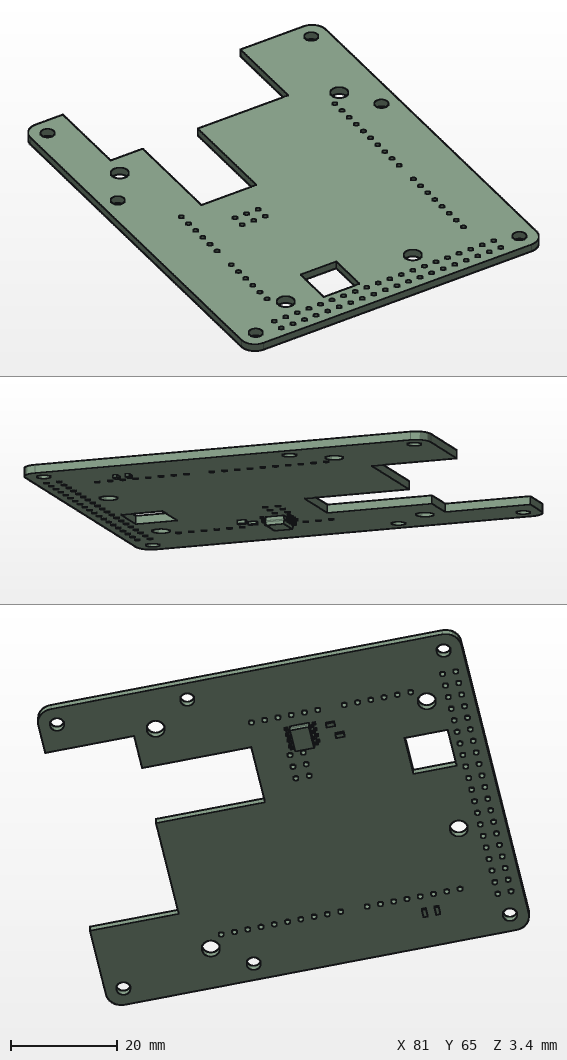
import cadquery as cq


board_length = 81.0
board_width = 65.0
board_thickness = 1.6
corner_radius = 3.0

notch_depth = 17.0
notch_bottom = -23.5
notch_top = 15.55
slot_depth = 37.9
slot_bottom = -16.45
window_left = 25.8
window_right = 34.1
window_bottom = -12.2
window_top = -4.4
slot_top = window_top

pin_hole_diameter = 1.0
header_pins = 20
header_length = 48.3
pitch = header_length / (header_pins - 1)
icsp_center_x = 5.4
icsp_center_y = -10.7
icsp_rows = 3

mount_diameter = 2.7
mount_inset = 3.5
mount_x = board_length / 2 - mount_inset
mount_y = board_width / 2 - mount_inset
middle_mount_x = -12.1
shield_hole_diameter = 3.4
shield_x = -19.2
shield_y = -header_length / 2

shield_holes = [(0, 0), (0, 19), (20, 2), (20, 13)]
upper_row = 18
upper_columns = [*range(1, 11), *range(12, 20)]
lower_row = 1
lower_columns = [*range(7, 13), *range(14, 20)]

chip_x = 7.3
chip_y = -17.1
chip_width = 3.8
chip_length = 4.9
chip_draft = 0.12
chip_standoff = 0.2
chip_height = 1.8
chip_middle = (chip_standoff + chip_height) / 2
lead_count = 4
lead_pitch = pitch / 2
lead_span = 5.9
lead_width = 0.4
lead_thickness = 0.25
lead_foot = 0.6
lead_bend_radius = 0.12

component_length = 1.6
component_width = 0.8
resistor_height = 0.5
capacitor_height = 0.65
capacitor_standoff = 0.2
resistor_pair_x = [21.55, 24.0]
resistor_pair_y = 25.0
side_resistor_x = 13.0
side_resistor_y = -18.2
capacitor_x = 14.25
capacitor_y = -15.8


def grid_point(column, row):
    """Point a number of pitches away from the lower left shield hole."""
    return (shield_x + column * pitch, shield_y + row * pitch)


def drill(plate, points, diameter):
    """Cut through holes at the given points, measured from the board centre."""
    return plate.cut(cq.Workplane("XY").pushPoints(points).circle(diameter / 2).extrude(board_thickness))


def block(left, right, bottom, top):
    """Board-thick block used to cut rectangular openings."""
    cutter = cq.Workplane("XY").box(right - left, top - bottom, board_thickness, centered=False)
    return cutter.translate((left, bottom, 0))


def pin_hole_points():
    points = [grid_point(column, upper_row) for column in upper_columns]
    points += [grid_point(column, lower_row) for column in lower_columns]
    for side in (-0.5, 0.5):
        for row in range(header_pins):
            points.append((mount_x + side * pitch, row * pitch - header_length / 2))
        for row in range(icsp_rows):
            offset = row - (icsp_rows - 1) / 2
            points.append((icsp_center_x + side * pitch, icsp_center_y + offset * pitch))
    return points


def make_board():
    plate = cq.Workplane("XY").box(
        board_length, board_width, board_thickness, centered=(True, True, False)
    )
    plate = plate.edges("|Z").fillet(corner_radius)
    left_edge = -board_length / 2
    plate = plate.cut(block(left_edge, left_edge + notch_depth, notch_bottom, notch_top))
    plate = plate.cut(block(left_edge, left_edge + slot_depth, slot_bottom, slot_top))
    plate = plate.cut(block(window_left, window_right, window_bottom, window_top))

    mounts = [(x, y) for x in (-mount_x, middle_mount_x, mount_x) for y in (-mount_y, mount_y)]
    plate = drill(plate, mounts, mount_diameter)
    plate = drill(plate, [grid_point(*place) for place in shield_holes], shield_hole_diameter)
    return drill(plate, pin_hole_points(), pin_hole_diameter)


def chip_taper(start_z, end_z):
    """Part of the moulded body that narrows from start_z to end_z."""
    return (
        cq.Workplane("XY", origin=(0, 0, start_z))
        .rect(chip_width, chip_length)
        .workplane(offset=end_z - start_z)
        .rect(chip_width - 2 * chip_draft, chip_length - 2 * chip_draft)
        .loft(combine=True)
    )


def make_chip_body():
    """Straight band as thick as the leads, with a taper on each side of it."""
    band_bottom = -chip_middle - lead_thickness / 2
    band_top = band_bottom + lead_thickness
    band = (
        cq.Workplane("XY", origin=(0, 0, band_bottom))
        .rect(chip_width, chip_length)
        .extrude(lead_thickness)
    )
    return band.union(chip_taper(band_top, -chip_standoff)).union(chip_taper(band_bottom, -chip_height))


def make_lead():
    """Gull-wing lead: shoulder from the chip body, vertical leg and foot on the board."""
    tip = lead_span / 2
    leg_outer = tip - lead_foot + lead_thickness
    leg_inner = leg_outer - lead_thickness
    shoulder_low = -chip_middle - lead_thickness / 2
    shoulder_high = shoulder_low + lead_thickness
    root = chip_width / 2 - chip_draft
    return (
        cq.Workplane("XZ")
        .moveTo(root, shoulder_low)
        .lineTo(leg_outer, shoulder_low)
        .lineTo(leg_outer, -lead_thickness)
        .lineTo(tip, -lead_thickness)
        .lineTo(tip, 0)
        .lineTo(leg_inner, 0)
        .lineTo(leg_inner, shoulder_high)
        .lineTo(root, shoulder_high)
        .close()
        .extrude(lead_width / 2, both=True)
        .edges("|Y")
        .edges("not(<X or >X)")
        .fillet(lead_bend_radius)
    )


def make_chip():
    chip = make_chip_body()
    for index in range(lead_count):
        lead_y = (index - (lead_count - 1) / 2) * lead_pitch
        lead = make_lead().translate((0, lead_y, 0))
        chip = chip.union(lead).union(lead.mirror("YZ"))
    return chip.translate((chip_x, chip_y, 0))


def make_component(x, y, size_x, size_y, height, standoff=0):
    """Rectangular component below the board, a standoff away from its underside."""
    return cq.Workplane("XY").box(
        size_x, size_y, height, centered=(True, True, False)
    ).translate((x, y, -standoff - height))


board = make_board()
chip = make_chip()
resistor_pair = [
    make_component(x, resistor_pair_y, component_width, component_length, resistor_height)
    for x in resistor_pair_x
]
side_resistor = make_component(
    side_resistor_x, side_resistor_y, component_length, component_width, resistor_height
)
capacitor = make_component(
    capacitor_x, capacitor_y, component_length, component_width, capacitor_height, capacitor_standoff
)

result = cq.Compound.makeCompound([
    board.val(),
    chip.val(),
    *[resistor.val() for resistor in resistor_pair],
    side_resistor.val(),
    capacitor.val(),
])